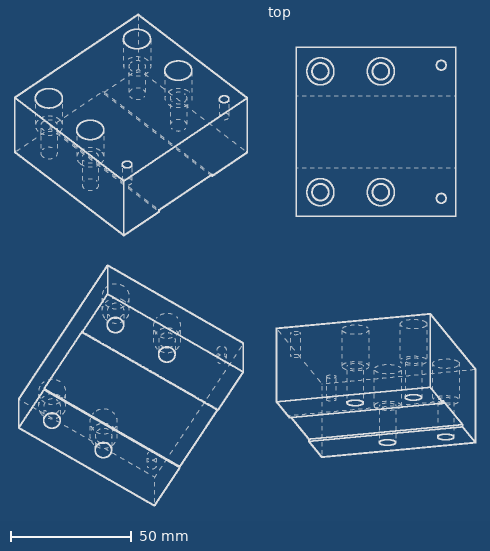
import cadquery as cq

length_x = 66.0
width_y = 70.0
height_z = 32.35

channel_width = 29.95
channel_depth = 1.0

screw_diameter = 6.8
head_diameter = 11.2
head_depth = 16.1
screw_columns_x = (10.0, 35.0)
screw_edge_y = 10.0

pin_diameter = 4.0
pin_depth = 10.0
pin_x = 60.0
pin_edge_y = 7.5


def mirrored_points(columns_x, edge_y):
    """Points at the same distance from both Y edges, for each column."""
    return [(x, y) for x in columns_x for y in (edge_y, width_y - edge_y)]


def top_plane():
    return cq.Workplane("XY", origin=(0, 0, height_z))


block = cq.Workplane("XY").box(length_x, width_y, height_z, centered=False)

channel = (
    cq.Workplane("XY", origin=(length_x / 2, width_y / 2, 0))
    .box(length_x, channel_width, channel_depth, centered=(True, True, False))
)

screw_points = mirrored_points(screw_columns_x, screw_edge_y)
screw_holes = top_plane().pushPoints(screw_points).circle(screw_diameter / 2).extrude(-height_z)
head_recesses = top_plane().pushPoints(screw_points).circle(head_diameter / 2).extrude(-head_depth)

pin_points = mirrored_points((pin_x,), pin_edge_y)
pin_holes = top_plane().pushPoints(pin_points).circle(pin_diameter / 2).extrude(-pin_depth)

result = block.cut(channel).cut(screw_holes).cut(head_recesses).cut(pin_holes)